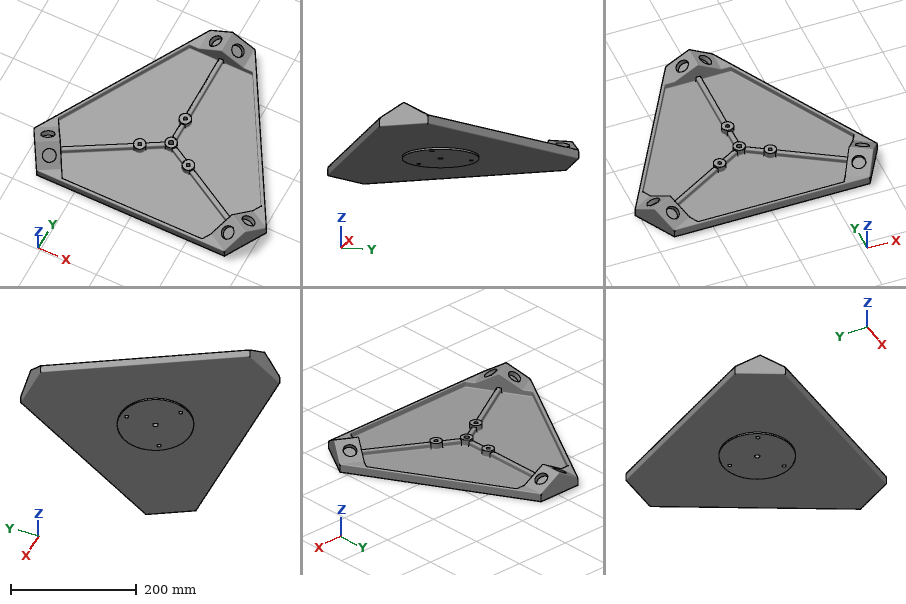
import cadquery as cq
import math

overall_width = 414.72
short_side = 80.0
long_side = overall_width - short_side
plate_height = 15.0
floor_thickness = 5.0
rim_thickness = 6.0
corner_count = 3
corner_step = 360.0 / corner_count

block_depth = 40.0
roof_slope = 30.0
socket_diameter = 22.0
socket_depth = 8.0
socket_inset = 1.3

rib_width = 8.2
rib_top = 13.0
rib_radius = 1.8
boss_diameter = 20.0
boss_top = 16.0
boss_spacing = 50.0
hub_hole_diameter = 8.0
boss_hole_diameter = 6.0
disc_diameter = 122.0
disc_thickness = 3.0

edge_radius = 1.5

half_short = short_side / 2
long_apothem = (long_side + 2 * short_side) / (2 * math.sqrt(3))
short_apothem = 2 * long_apothem - short_side * math.sqrt(3) / 2
block_face = short_apothem - block_depth

ridge_rise = half_short * math.tan(math.radians(roof_slope))
roof_foot_distance = math.hypot(block_face, half_short)

tolerance = 0.01


def around(shape):
    """Copies of a shape, one for each corner of the plate."""
    return [shape.rotate((0, 0, 0), (0, 0, 1), i * corner_step) for i in range(corner_count)]


def hexagon(to_long, to_short):
    """Corner points of the three-fold hexagon with its sides at the given distances."""
    half_side = (to_long - to_short / 2) * 2 / math.sqrt(3)
    points = []
    for i in range(corner_count):
        turn = math.radians(i * corner_step)
        for x in (half_side, -half_side):
            points.append((
                x * math.cos(turn) - to_short * math.sin(turn),
                x * math.sin(turn) + to_short * math.cos(turn),
            ))
    return points


def make_block():
    """Triangular prism whose ridge points to the centre."""
    return (
        cq.Workplane("XZ", origin=(0, short_apothem, plate_height))
        .polyline([(-half_short, 0), (half_short, 0), (0, ridge_rise)])
        .close()
        .extrude(block_depth)
    )


def make_pocket():
    """Space inside the rim and the blocks, down to the floor."""
    pocket = (
        cq.Workplane("XY", origin=(0, 0, floor_thickness))
        .polyline(hexagon(long_apothem - rim_thickness, block_face))
        .close()
        .extrude(plate_height - floor_thickness)
    )
    return pocket.edges("|Z").fillet(edge_radius)


def make_shell():
    """Hollowed plate with its corner blocks, all edges still sharp."""
    outline = cq.Workplane("XY").polyline(hexagon(long_apothem, short_apothem)).close()
    shell = outline.extrude(plate_height)
    for block in around(make_block()):
        shell = shell.union(block)
    return shell.cut(make_pocket())


def is_top_edge(edge):
    """Edges at or above the rim, except the creases where a roof meets the flat rim."""
    box = edge.BoundingBox()
    if box.zmin < plate_height - tolerance:
        return False
    at_rim = box.zmax < plate_height + tolerance
    inner_end = min(edge.startPoint().Length, edge.endPoint().Length)
    starts_at_roof_foot = inner_end < roof_foot_distance + tolerance
    is_block_length = abs(edge.Length() - block_depth) < tolerance
    return not (at_rim and starts_at_roof_foot and is_block_length)


def is_floor_edge(edge):
    """Edges lying in the pocket floor, at the foot of the walls, ribs and bosses."""
    box = edge.BoundingBox()
    return abs(box.zmin - floor_thickness) < tolerance and abs(box.zmax - floor_thickness) < tolerance


def fillet_where(body, test):
    """Rounds the edges that pass a test."""
    edges = [edge for edge in body.edges().vals() if test(edge)]
    return body.newObject(edges).fillet(edge_radius)


def make_rib():
    """Round-shouldered bar from the centre to the face of a block."""
    rib = (
        cq.Workplane("XY", origin=(0, block_face / 2, floor_thickness))
        .rect(rib_width, block_face)
        .extrude(rib_top - floor_thickness)
    )
    return rib.faces(">Z").edges("|Y").fillet(rib_radius)


def make_boss(y):
    """Round boss, rooted through the floor."""
    return cq.Workplane("XY", origin=(0, y, 0)).circle(boss_diameter / 2).extrude(boss_top)


def make_disc():
    """Round pad below the plate."""
    return cq.Workplane("XY").circle(disc_diameter / 2).extrude(-disc_thickness)


def make_hole(y, diameter):
    """Cutter for a hole through a boss, the floor and the disc."""
    bottom = cq.Workplane("XY", origin=(0, y, -disc_thickness))
    return bottom.circle(diameter / 2).extrude(disc_thickness + boss_top)


def make_socket(side):
    """Cutter for a blind round hole square to one roof face of a block."""
    slope = math.radians(roof_slope)
    centre = (
        side * half_short / 2,
        short_apothem - block_depth / 2 - socket_inset,
        plate_height + ridge_rise / 2,
    )
    normal = (side * math.sin(slope), 0, math.cos(slope))
    roof_plane = cq.Plane(origin=centre, xDir=(0, 1, 0), normal=normal)
    return cq.Workplane(roof_plane).circle(socket_diameter / 2).extrude(-socket_depth)


result = fillet_where(make_shell(), is_top_edge)

for rib in around(make_rib()):
    result = result.union(rib)
result = result.union(make_boss(0))
for boss in around(make_boss(boss_spacing)):
    result = result.union(boss)
result = fillet_where(result, is_floor_edge)

result = result.faces("<Z").edges().fillet(edge_radius)
result = result.union(make_disc())

result = result.cut(make_hole(0, hub_hole_diameter))
for hole in around(make_hole(boss_spacing, boss_hole_diameter)):
    result = result.cut(hole)
for side in (-1, 1):
    for socket in around(make_socket(side)):
        result = result.cut(socket)